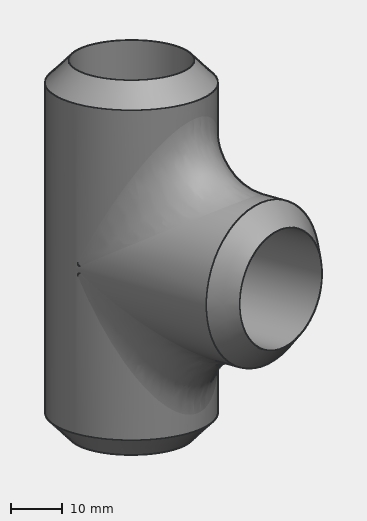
import cadquery as cq
import math

run_length = 76.2
outer_diameter = 33.4
bore_diameter = 24.2
branch_reach = 38.1
crotch_start = 30.0

outer_radius = outer_diameter / 2
bevel = (outer_diameter - bore_diameter) / 2
half_run = run_length / 2

blend_radius = crotch_start - outer_radius
blend_sections = 9
section_spans = 24
tip_angle = math.radians(2.5)
join_tolerance = 0.001


def solid_pipe(length):
    """Solid cylinder standing on the XY plane along Z."""
    return cq.Workplane("XY").circle(outer_radius).extrude(length)


def blend_section(arc_angle):
    """Half-ellipse wire in the plane through the Y axis and one point of the crotch arc."""
    x = crotch_start - blend_radius * math.cos(arc_angle)
    z = crotch_start - blend_radius * math.sin(arc_angle)

    def ellipse_point(angle):
        return cq.Vector(x * math.sin(angle), outer_radius * math.cos(angle), z * math.sin(angle))

    step = (math.pi - 2 * tip_angle) / section_spans
    points = [ellipse_point(tip_angle + i * step) for i in range(section_spans + 1)]
    curve = cq.Edge.makeSpline(points)
    return cq.Wire.assembleEdges([curve, cq.Edge.makeLine(points[-1], points[0])])


def crotch_blend():
    """Gusset filling the upper corner between the run and the branch."""
    step = math.pi / 2 / (blend_sections - 1)
    return cq.Workplane(cq.Solid.makeLoft([blend_section(i * step) for i in range(blend_sections)]))


run = solid_pipe(run_length).translate((0, 0, -half_run)).edges("%CIRCLE").chamfer(bevel)
run = run.rotate((0, 0, 0), (0, 0, 1), 180)
branch = solid_pipe(branch_reach).faces(">Z").chamfer(bevel)
branch = branch.rotate((0, 0, 0), (0, 0, 1), 90).rotate((0, 0, 0), (0, 1, 0), 90)
upper_blend = crotch_blend()
lower_blend = upper_blend.mirror("XY")

body = run.union(branch)
for blend in (upper_blend, lower_blend):
    body = body.union(blend, tol=join_tolerance)

run_bore = cq.Workplane("XY").circle(bore_diameter / 2).extrude(half_run, both=True)
branch_bore = cq.Workplane("YZ").circle(bore_diameter / 2).extrude(branch_reach)

result = body.cut(run_bore).cut(branch_bore)